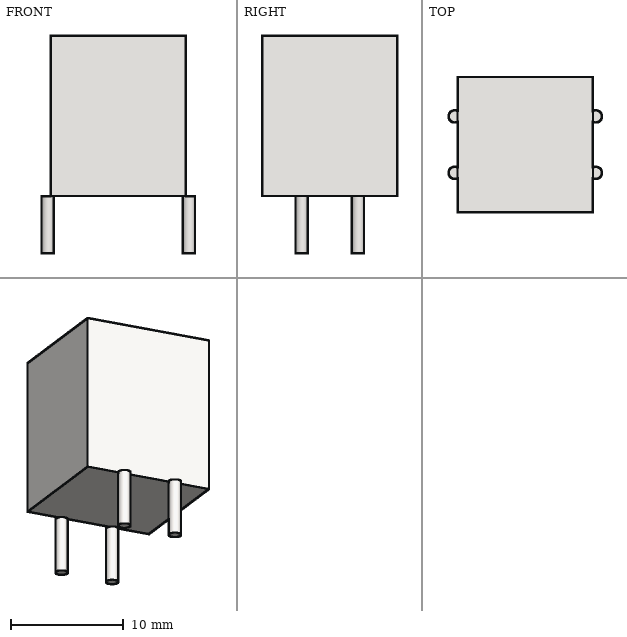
import cadquery as cq

total_height = 19.3
span_x = 13.6
housing_side = 12.0

pin_diameter = 1.1
pin_length = 5.1
pin_pitch_y = 5.0
pin_spacing_x = span_x - pin_diameter

housing_height = total_height - pin_length


def make_housing():
    """Plain square block, its underside at Z = 0."""
    return cq.Workplane("XY").box(
        housing_side, housing_side, housing_height, centered=(True, True, False)
    )


def make_pin(x, y):
    """Round pin hanging down from the plane of the housing underside."""
    return cq.Workplane("XY").center(x, y).circle(pin_diameter / 2).extrude(-pin_length)


housing = make_housing()

pins = []
for side_x in (-1, 1):
    for side_y in (-1, 1):
        pin = make_pin(side_x * pin_spacing_x / 2, side_y * pin_pitch_y / 2)
        pins.append(pin.val())

result = cq.Compound.makeCompound([housing.val(), *pins])